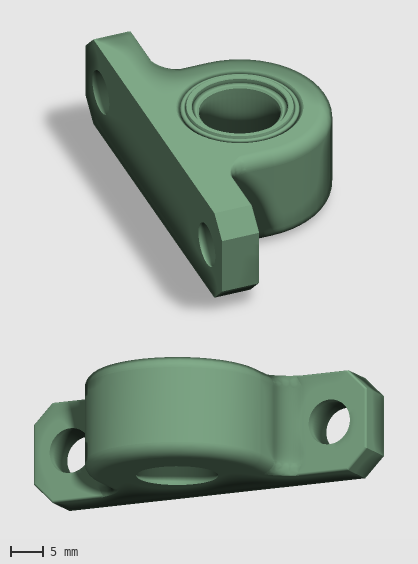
import cadquery as cq
import math

LENGTH = 57.15
THICKNESS = 15.9
PLATE_DEPTH = 6.3
CORNER_CHAMFER = 3.2
BACK_ROUND = 0.35
BOLT_OFFSET = 22.25
BOLT_RADIUS = 3.55

BOSS_RADIUS = LENGTH / 4
BOSS_Y = 14.3
BOSS_ROUND = 2.0
SEAT_RADIUS = 9.2
SEAT_CHAMFER = 0.65

BLEND_RADIUS = 3.3
BLEND_STEPS = 4
BLEND_ROOT_X = 11.45
BLEND_ROOT_Y = 2.85
BLEND_MID_INSET_X = 0.75
BLEND_MID_INSET_Y = 0.1

BORE_RADIUS = 6.35
BORE_CHAMFER = 0.3
COLLAR_RADIUS = 8.3
COLLAR_INNER_RADIUS = 7.45
COLLAR_CHAMFER = 0.1
COLLAR_HEIGHT = 0.25
RECESS_DEPTH = 0.65
BEAD_INNER_RADIUS = 8.45
BEAD_CREST_RADIUS = 8.8
BEAD_INNER_DROP = 0.25


def make_plate():
    """Plate with cut corners, rounded back edge and two bolt holes along Y."""
    plate = (
        cq.Workplane("XY")
        .box(LENGTH, PLATE_DEPTH, THICKNESS, centered=(True, False, False))
        .edges("|Y").chamfer(CORNER_CHAMFER)
        .faces(">Y").edges().fillet(BACK_ROUND)
    )
    bolt_holes = (
        cq.Workplane("XZ")
        .pushPoints([(-BOLT_OFFSET, THICKNESS / 2), (BOLT_OFFSET, THICKNESS / 2)])
        .circle(BOLT_RADIUS).extrude(-PLATE_DEPTH)
    )
    return plate.cut(bolt_holes)


def make_boss():
    """Half-round arch on straight legs, rounded along its outer edges."""
    return (
        cq.Workplane("XY")
        .moveTo(-BOSS_RADIUS, 0)
        .lineTo(BOSS_RADIUS, 0)
        .lineTo(BOSS_RADIUS, BOSS_Y)
        .threePointArc((0, BOSS_Y + BOSS_RADIUS), (-BOSS_RADIUS, BOSS_Y))
        .close().extrude(THICKNESS)
        .faces("<Z or >Z").edges("not <Y").fillet(BOSS_ROUND)
    )


def blend_outline(inset):
    """Blend section; inset runs from 0 on the wall to 1 on the flat face."""
    reach = BLEND_RADIUS * (1 - math.sqrt(0.5))
    start = (BOSS_RADIUS - BOSS_ROUND * inset, PLATE_DEPTH + BLEND_RADIUS)
    middle = (
        BOSS_RADIUS + reach - BLEND_MID_INSET_X * inset,
        PLATE_DEPTH + reach - BLEND_MID_INSET_Y * inset,
    )
    end = (BOSS_RADIUS + BLEND_RADIUS, PLATE_DEPTH - BACK_ROUND * inset)
    edges = [
        cq.Edge.makeThreePointArc(*[cq.Vector(*p) for p in (start, middle, end)]),
    ]
    corners = [end, (end[0], BLEND_ROOT_Y), (BLEND_ROOT_X, BLEND_ROOT_Y),
               (BLEND_ROOT_X, start[1]), start]
    for first, second in zip(corners, corners[1:]):
        edges.append(cq.Edge.makeLine(cq.Vector(*first), cq.Vector(*second)))
    return cq.Wire.assembleEdges(edges)


def make_blend():
    """Blend on the +X side whose rounding narrows from the boss to the plate."""
    lower_sections = []
    for step in range(BLEND_STEPS + 1):
        angle = math.pi / 2 * step / BLEND_STEPS
        height = BOSS_ROUND * (1 - math.cos(angle))
        outline = blend_outline(1 - math.sin(angle))
        lower_sections.append(outline.moved(cq.Location(cq.Vector(0, 0, height))))
    lower = cq.Workplane(cq.Solid.makeLoft(lower_sections))
    straight = (
        cq.Workplane(cq.Face.makeFromWires(lower_sections[-1]))
        .wires().toPending().extrude(THICKNESS / 2 - BOSS_ROUND)
    )
    half = lower.union(straight)
    return half.union(half.mirror("XY", (0, 0, THICKNESS / 2)))


def make_housing():
    blend = make_blend()
    body = make_plate().union(make_boss()).union(blend).union(blend.mirror("YZ"))
    seat = (
        cq.Workplane("XY").center(0, BOSS_Y)
        .circle(SEAT_RADIUS).extrude(THICKNESS)
    )
    mouth = cq.Workplane(cq.Solid.makeCone(
        SEAT_RADIUS, SEAT_RADIUS + SEAT_CHAMFER, SEAT_CHAMFER,
        cq.Vector(0, BOSS_Y, THICKNESS - SEAT_CHAMFER),
    ))
    return body.cut(seat).cut(mouth)


def make_bearing():
    """Revolved bearing with a rounded outer bead and a raised collar."""
    collar_top = THICKNESS + COLLAR_HEIGHT
    recess_floor = THICKNESS - RECESS_DEPTH
    return (
        cq.Workplane("XZ")
        .moveTo(BORE_RADIUS, 0)
        .lineTo(SEAT_RADIUS, 0)
        .lineTo(SEAT_RADIUS, THICKNESS - SEAT_CHAMFER)
        .threePointArc(
            (BEAD_CREST_RADIUS, THICKNESS),
            (BEAD_INNER_RADIUS, THICKNESS - BEAD_INNER_DROP),
        )
        .lineTo(COLLAR_RADIUS, collar_top)
        .lineTo(COLLAR_INNER_RADIUS + COLLAR_CHAMFER, collar_top)
        .lineTo(COLLAR_INNER_RADIUS, collar_top - COLLAR_CHAMFER)
        .lineTo(COLLAR_INNER_RADIUS, recess_floor)
        .lineTo(BORE_RADIUS + BORE_CHAMFER, recess_floor)
        .lineTo(BORE_RADIUS, recess_floor - BORE_CHAMFER)
        .close().revolve(360, (0, 0), (0, 1))
        .translate((0, BOSS_Y, 0))
    )


housing = make_housing()
bearing = make_bearing()
result = cq.Compound.makeCompound([housing.val(), bearing.val()])